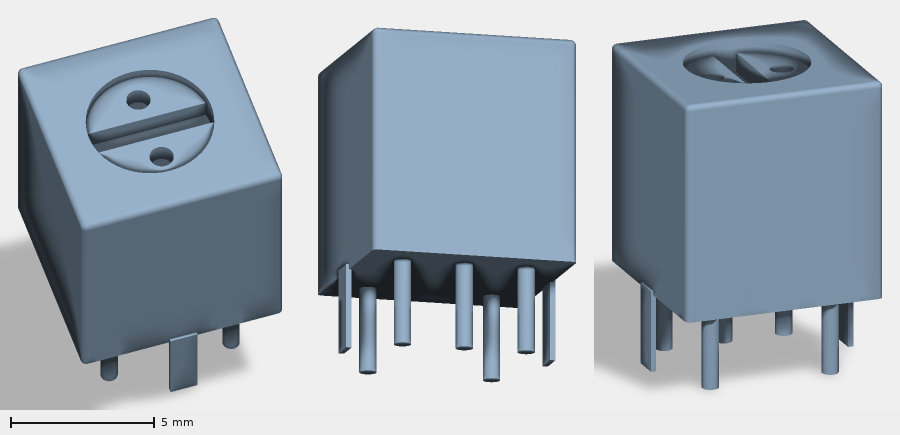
import cadquery as cq

housing_side = 7.39
housing_height = 8.0
edge_radius = 0.2

bore_diameter = 4.5
core_diameter = 4.49
core_recess = 0.4
core_height = 1.6
bore_depth = core_recess + core_height

slot_width = 0.88
slot_depth = 0.7
spanner_hole_diameter = 0.85
spanner_hole_offset = 1.3
spanner_hole_depth = slot_depth

pin_diameter = 0.6
overall_height = 11.0
pin_length = overall_height - housing_height
pin_offset = 2.24
pin_positions = [
    (-pin_offset, -pin_offset),
    (pin_offset, -pin_offset),
    (-pin_offset, pin_offset),
    (0, pin_offset),
    (pin_offset, pin_offset),
]

overall_width = 7.59
tab_thickness = 0.2
tab_width = 0.99
tab_top = 0.18
tab_bottom = -2.8
tab_offset = (overall_width - tab_thickness) / 2


def make_tab(side):
    """Flat tab on the -X side (side = -1) or the +X side (side = 1)."""
    return (
        cq.Workplane("XY", origin=(side * tab_offset, 0, tab_bottom))
        .rect(tab_thickness, tab_width)
        .extrude(tab_top - tab_bottom)
    )


def make_pin(x, y):
    """Round pin hanging from the underside of the housing."""
    return cq.Workplane("XY").center(x, y).circle(pin_diameter / 2).extrude(-pin_length)


def make_housing(tabs):
    """Rounded can with a blind bore in its top and a recess for each tab."""
    body = (
        cq.Workplane("XY")
        .rect(housing_side, housing_side)
        .extrude(housing_height)
        .edges("|Z or >Z")
        .fillet(edge_radius)
    )
    bore = (
        cq.Workplane("XY", origin=(0, 0, housing_height))
        .circle(bore_diameter / 2)
        .extrude(-bore_depth)
    )
    body = body.cut(bore)
    for tab in tabs:
        body = body.cut(tab)
    return body


def make_core():
    """Round core with a slot along Y and a blind hole on each side of it."""
    top_plane = cq.Workplane("XY", origin=(0, 0, housing_height - core_recess))
    body = top_plane.circle(core_diameter / 2).extrude(-core_height)
    slot = top_plane.rect(slot_width, core_diameter).extrude(-slot_depth)
    spanner_holes = (
        top_plane.pushPoints([(-spanner_hole_offset, 0), (spanner_hole_offset, 0)])
        .circle(spanner_hole_diameter / 2)
        .extrude(-spanner_hole_depth)
    )
    return body.cut(slot).cut(spanner_holes)


tabs = [make_tab(side) for side in (-1, 1)]
pins = [make_pin(x, y) for x, y in pin_positions]
housing = make_housing(tabs)
core = make_core()

result = cq.Compound.makeCompound(
    [housing.val(), core.val()]
    + [tab.val() for tab in tabs]
    + [pin.val() for pin in pins]
)